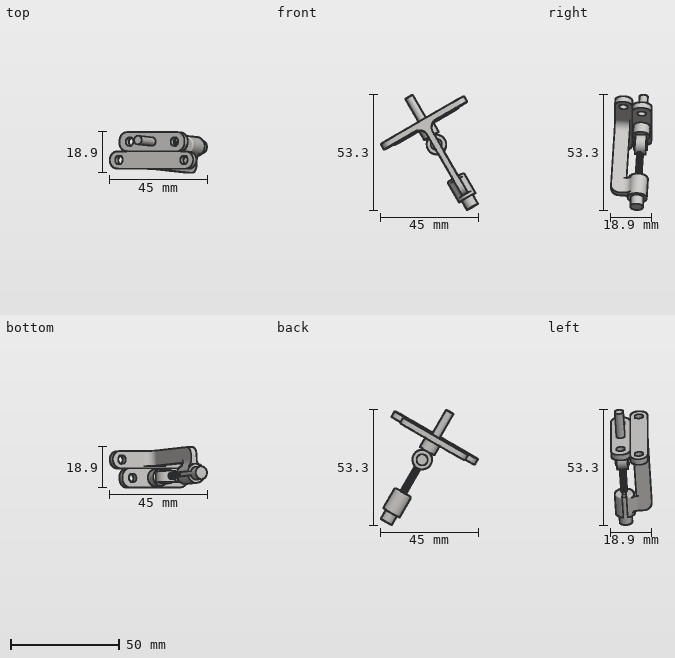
import cadquery as cq
import math

tilt_about_x = -3.2
tilt_about_y = -30.0

bar_thickness = 3.0
bar_corner_radius = 4.0
bar_hole_diameter = 4.0
front_bar_length = 44.55
bar_side_flat = 0.001
front_bar_width = 2 * bar_corner_radius + bar_side_flat
front_hole_spacing = 34.7
back_bar_length = 34.7
back_bar_width = 8.9
back_hole_spacing = 23.85
axis_y = (front_bar_width + back_bar_width) / 2

pin_diameter = 4.0
pin_height = 12.9
boss_diameter = 7.85
boss_bottom = -8.0

leg_thickness = 3.0
leg_front = -front_bar_width / 2
leg_back = 3.0
leg_bottom = -39.35
leg_corner_radius = 4.0
leg_fillet_radius = 4.0

housing_radius = 4.5
housing_top = -30.2
housing_bottom = -41.0
housing_edge_radius = 0.75
cap_thickness = 0.7
slot_width = 2.05
web_top = -31.5
web_bottom = leg_bottom
web_fillet_radius = 4.0

barrel_radius = 3.0
barrel_top = housing_top - cap_thickness
barrel_bottom = -45.85

eye_radius = 4.55
eye_width = 5.0
eye_pin_radius = 2.55
eye_pin_length = 6.15
eye_z = boss_bottom - eye_radius
rod_diameter = 1.6

spring_outer_diameter = 3.0
wire_diameter = 0.5
spring_pitch = 1.0
spring_turns = 12
spring_start = eye_z - eye_radius - wire_diameter / 2
spring_length = spring_pitch * spring_turns


def upright_cylinder(radius, bottom, top):
    """Vertical cylinder on the common axis."""
    return cq.Workplane("XY", origin=(0, axis_y, bottom)).circle(radius).extrude(top - bottom)


def cross_cylinder(radius, length):
    """Cylinder across the eye, centred on it."""
    plane = cq.Workplane("XZ", origin=(0, axis_y, eye_z))
    return plane.circle(radius).extrude(length / 2, both=True)


def bar(length, width, hole_spacing, center_y):
    """Flat bar with rounded ends and two holes, its top at Z = 0."""
    plate = (
        cq.Workplane("XY", origin=(0, center_y, -bar_thickness))
        .sketch()
        .rect(length, width)
        .vertices()
        .fillet(bar_corner_radius)
        .finalize()
        .extrude(bar_thickness)
    )
    return (
        plate.faces(">Z")
        .workplane(origin=(0, center_y, 0))
        .pushPoints([(-hole_spacing / 2, 0), (hole_spacing / 2, 0)])
        .hole(bar_hole_diameter)
    )


def leg():
    """Leg below the front bar, flared into it, with one rounded bottom corner."""
    half = leg_thickness / 2
    flare = half + leg_fillet_radius
    flare_bottom = -bar_thickness - leg_fillet_radius
    outline = (
        cq.Workplane("XZ", origin=(0, leg_front, 0))
        .moveTo(-half, leg_bottom)
        .lineTo(-half, flare_bottom)
        .radiusArc((-flare, -bar_thickness), -leg_fillet_radius)
        .lineTo(flare, -bar_thickness)
        .radiusArc((half, flare_bottom), -leg_fillet_radius)
        .lineTo(half, leg_bottom)
        .close()
    )
    body = outline.extrude(leg_front - leg_back)
    return body.edges("<Z").edges("|X").edges("<Y").fillet(leg_corner_radius)


def web():
    """Web from leg to housing; its concave sides are tangent to both."""
    half = leg_thickness / 2
    center_x = half + web_fillet_radius
    center_distance = housing_radius + web_fillet_radius
    start_y = axis_y - math.sqrt(center_distance**2 - center_x**2)
    contact_x = center_x * housing_radius / center_distance
    contact_y = axis_y - (axis_y - start_y) * housing_radius / center_distance
    return (
        cq.Workplane("XY", origin=(0, 0, web_bottom))
        .moveTo(-half, start_y)
        .radiusArc((-contact_x, contact_y), -web_fillet_radius)
        .lineTo(0, axis_y)
        .lineTo(contact_x, contact_y)
        .radiusArc((half, start_y), -web_fillet_radius)
        .close()
        .extrude(web_top - web_bottom)
    )


def make_bracket():
    """Front bar, leg and slotted housing in one piece."""
    housing = upright_cylinder(housing_radius, housing_bottom, housing_top)
    housing = housing.faces(">Z").edges().fillet(housing_edge_radius)
    body = bar(front_bar_length, front_bar_width, front_hole_spacing, 0)
    body = body.union(leg()).union(web()).union(housing)
    bore = upright_cylinder(barrel_radius, housing_bottom, barrel_top)
    slot = cq.Workplane("XY", origin=(-housing_radius, axis_y, housing_bottom)).box(
        2 * housing_radius, slot_width, housing_top - housing_bottom, centered=(True, True, False)
    )
    slot = slot.union(upright_cylinder(slot_width / 2, housing_bottom, housing_top))
    return body.cut(bore).cut(slot)


def make_back_bar():
    """Back bar with the pin above it and the round boss below."""
    boss = upright_cylinder(boss_diameter / 2, boss_bottom, -bar_thickness)
    pin = upright_cylinder(pin_diameter / 2, -bar_thickness, pin_height)
    plate = bar(back_bar_length, back_bar_width, back_hole_spacing, axis_y)
    return plate.union(boss).union(pin)


def make_eye_rod():
    """Eye with the rod that reaches down to the barrel."""
    rod = upright_cylinder(rod_diameter / 2, barrel_top, eye_z)
    return cross_cylinder(eye_radius, eye_width).union(rod).cut(make_eye_pin())


def make_eye_pin():
    """Cross pin standing slightly proud of both faces of the eye."""
    return cross_cylinder(eye_pin_radius, eye_pin_length)


def make_barrel():
    return upright_cylinder(barrel_radius, barrel_bottom, barrel_top)


def make_spring():
    """Round wire swept along a helix below the eye."""
    coil_radius = (spring_outer_diameter - wire_diameter) / 2
    bottom = spring_start - spring_length
    path = cq.Wire.makeHelix(spring_pitch, spring_length, coil_radius)
    wire = cq.Workplane("XZ", origin=(coil_radius, 0, 0)).circle(wire_diameter / 2)
    return wire.sweep(cq.Workplane(path), isFrenet=True).translate((0, axis_y, bottom))


def place(body):
    """Lean a body across the bars, then slope it along them."""
    leaned = body.rotate((0, 0, 0), (1, 0, 0), tilt_about_x)
    return leaned.rotate((0, 0, 0), (0, 1, 0), tilt_about_y).val()


bracket = place(make_bracket())
back_bar = place(make_back_bar())
eye_rod = place(make_eye_rod())
eye_pin = place(make_eye_pin())
barrel = place(make_barrel())
spring = place(make_spring())

result = cq.Compound.makeCompound([bracket, back_bar, eye_rod, eye_pin, barrel, spring])